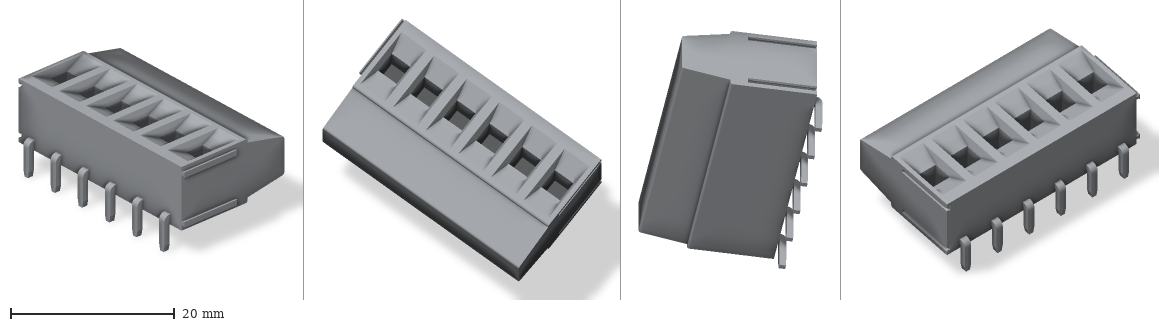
import cadquery as cq


pole_count = 6
housing_length = 30.0
housing_depth = 16.8
housing_height = 8.9
pole_pitch = housing_length / pole_count

shoulder_y = 10.78
top_shoulder_step = 0.52
bottom_shoulder_step = 0.7
rear_top_drop = 1.85
rear_bottom_rise = 1.75
edge_radius = 0.3

mouth_width = 3.8
mouth_front_y = 1.6
mouth_rear_y = 10.0
funnel_depth = 1.1
shaft_width = 2.85
shaft_front_y = 4.22
shaft_rear_y = 6.97
shaft_depth = 3.97

rail_length = 8.6
upper_rail_drop = 0.92
lower_rail_drop = 7.85
rail_reach = 0.55
neck_length = 0.27
head_start = 0.37
neck_half_height = 0.2
head_half_height = 0.4
groove_mouth_half_height = 0.3
lower_groove_mouth_bottom = 0.43

pin_width = 1.0
pin_thickness = 0.82
pin_gap = 0.18
pin_top_z = 1.53
pin_drop = 3.5
pin_tip_width = 0.6
pin_tip_height = 0.95
pin_root = 0.92


def pole_center_x(index):
    return (index + 0.5) * pole_pitch


def make_housing():
    profile = [
        (0, 0),
        (shoulder_y, 0),
        (shoulder_y, bottom_shoulder_step),
        (housing_depth, rear_bottom_rise),
        (housing_depth, housing_height - rear_top_drop),
        (shoulder_y, housing_height - top_shoulder_step),
        (shoulder_y, housing_height),
        (0, housing_height),
    ]
    housing = cq.Workplane("YZ").polyline(profile).close().extrude(housing_length)
    shoulder_edges = housing.faces("<Z or >Z").edges("|X").edges(">Y")
    rear_edges = housing.faces(">Y").edges("|X")
    return housing.newObject(shoulder_edges.vals() + rear_edges.vals()).fillet(edge_radius)


def make_screw_opening(center_x):
    mouth_center_y = (mouth_front_y + mouth_rear_y) / 2
    shaft_center_y = (shaft_front_y + shaft_rear_y) / 2
    shaft_length = shaft_rear_y - shaft_front_y
    funnel = (
        cq.Workplane("XY", origin=(center_x, mouth_center_y, housing_height))
        .rect(mouth_width, mouth_rear_y - mouth_front_y)
        .workplane(offset=-funnel_depth)
        .center(0, shaft_center_y - mouth_center_y)
        .rect(shaft_width, shaft_length)
        .loft(ruled=True)
    )
    shaft = (
        cq.Workplane("XY", origin=(center_x, shaft_center_y, housing_height - funnel_depth))
        .rect(shaft_width, shaft_length)
        .extrude(-shaft_depth)
    )
    return funnel.union(shaft)


def make_rail(side_x, drop, root_above, root_below):
    """T-section bar reaching from side_x toward +X, centred at drop below the top face.

    root_above and root_below are its half heights where it meets side_x.
    """
    upper_half = [
        (neck_length, neck_half_height),
        (head_start, head_half_height),
        (rail_reach, head_half_height),
    ]
    lower_half = [(x, -z) for x, z in reversed(upper_half)]
    root = [(0, -root_below), (0, root_above)]
    return (
        cq.Workplane("XZ", origin=(side_x, 0, housing_height - drop))
        .polyline(upper_half + lower_half + root)
        .close()
        .extrude(-rail_length)
    )


def make_pin(center_x):
    outer_y = -(pin_gap + pin_thickness)
    bent_strip = (
        cq.Workplane("YZ", origin=(center_x, 0, 0))
        .moveTo(pin_root, pin_top_z)
        .lineTo(-pin_gap, pin_top_z)
        .radiusArc((outer_y, pin_top_z - pin_thickness), -pin_thickness)
        .lineTo(outer_y, -pin_drop)
        .lineTo(-pin_gap, -pin_drop)
        .lineTo(-pin_gap, pin_top_z - pin_thickness)
        .lineTo(pin_root, pin_top_z - pin_thickness)
        .close()
        .extrude(pin_width / 2, both=True)
    )
    front_outline = [
        (-pin_width / 2, pin_top_z),
        (-pin_width / 2, pin_tip_height - pin_drop),
        (-pin_tip_width / 2, -pin_drop),
        (pin_tip_width / 2, -pin_drop),
        (pin_width / 2, pin_tip_height - pin_drop),
        (pin_width / 2, pin_top_z),
    ]
    outline_block = (
        cq.Workplane("XZ", origin=(center_x, pin_root, 0))
        .polyline(front_outline)
        .close()
        .extrude(pin_root - outer_y)
    )
    return bent_strip.intersect(outline_block)


result = make_housing()
for drop, mouth_bottom in (
    (upper_rail_drop, groove_mouth_half_height),
    (lower_rail_drop, lower_groove_mouth_bottom),
):
    result = result.cut(make_rail(0, drop, groove_mouth_half_height, mouth_bottom))
    result = result.union(make_rail(housing_length, drop, neck_half_height, neck_half_height))
for index in range(pole_count):
    result = result.cut(make_screw_opening(pole_center_x(index)))
    result = result.union(make_pin(pole_center_x(index)))